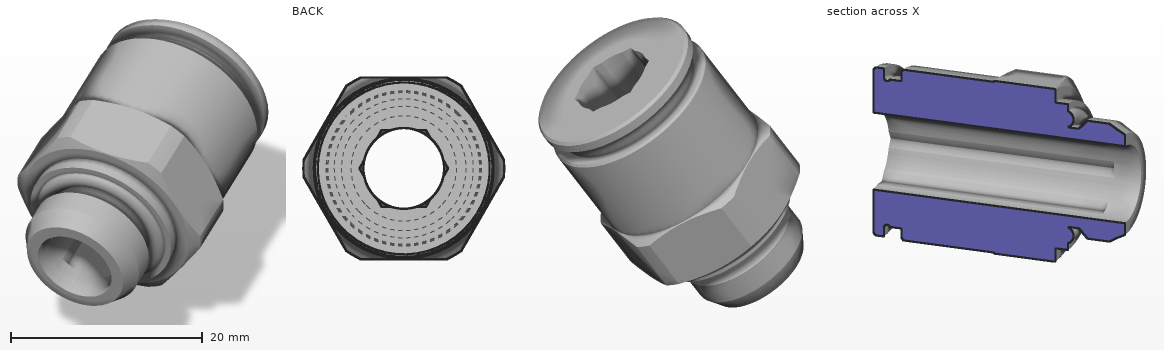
import cadquery as cq
import math

LENGTH = 28.7
TIP_END = 1.85
THREAD_END = 4.33
NECK_START = 5.3
COLLAR_START = 6.51
HEX_START = 7.95
HEX_END = 15.0
BODY_END = 25.49
SLEEVE_END = 26.8
FLANGE_START = 27.47

NECK_DIAMETER = 11.0
THREAD_DIAMETER = 13.0
COLLAR_DIAMETER = 16.07
BODY_DIAMETER = 18.8
SLEEVE_DIAMETER = 16.25
GROOVE_DIAMETER = 15.85
FLANGE_DIAMETER = 18.5

BODY_CHAMFER = 0.23
FLANGE_CHAMFER = 0.3
GROOVE_FLARE = 0.11

SEAL_DIAMETER = 14.52
SEAL_PROTRUSION = 0.63

HEX_ACROSS_FLATS = 19.0
HEX_CORNER_DIAMETER = 20.98
HEX_CHAMFER_ANGLE = 30.0

BORE_DIAMETER = 8.4
KEY_ACROSS_FLATS = 8.0
KEY_START = 3.1


def revolve_about_y(profile):
    return profile.close().revolve(360, (0, 0, 0), (0, 1, 0))


def hexagon(across_flats, start, end):
    """Hexagonal prism along +Y with corners on the X axis and flats facing +Z and -Z."""
    across_corners = across_flats / math.cos(math.radians(30))
    plane = cq.Workplane("XZ", origin=(0, start, 0))
    return plane.polygon(6, across_corners).extrude(start - end)


def turned_body():
    """Revolved outside shape, from the tip to the release ring flange."""
    neck = NECK_DIAMETER / 2
    thread = THREAD_DIAMETER / 2
    collar = COLLAR_DIAMETER / 2
    body = BODY_DIAMETER / 2
    sleeve = SLEEVE_DIAMETER / 2
    groove = GROOVE_DIAMETER / 2
    flange = FLANGE_DIAMETER / 2
    seal_outer = SEAL_DIAMETER / 2
    seal_middle = (neck + seal_outer) / 2
    groove_middle = (SLEEVE_END + FLANGE_START) / 2

    profile = (
        cq.Workplane("XY")
        .lineTo(neck, 0)
        .lineTo(thread, TIP_END)
        .lineTo(thread, THREAD_END)
        .lineTo(neck, NECK_START)
        .lineTo(neck, COLLAR_START)
        .threePointArc((seal_middle, COLLAR_START - SEAL_PROTRUSION), (seal_outer, COLLAR_START))
        .lineTo(collar, COLLAR_START)
        .lineTo(collar, HEX_START)
        .lineTo(body, HEX_START)
        .lineTo(body, BODY_END - BODY_CHAMFER)
        .lineTo(body - BODY_CHAMFER, BODY_END)
        .lineTo(sleeve, BODY_END)
        .lineTo(sleeve, SLEEVE_END)
        .threePointArc((groove, groove_middle), (sleeve + GROOVE_FLARE, FLANGE_START))
        .lineTo(flange, FLANGE_START)
        .lineTo(flange, LENGTH - FLANGE_CHAMFER)
        .lineTo(flange - FLANGE_CHAMFER, LENGTH)
        .lineTo(0, LENGTH)
    )
    return revolve_about_y(profile)


def wrench_hexagon():
    """Hexagon trimmed by a cylinder whose two ends are coned down to the body diameter."""
    corner = HEX_CORNER_DIAMETER / 2
    face = BODY_DIAMETER / 2
    chamfer_length = (corner - face) * math.tan(math.radians(HEX_CHAMFER_ANGLE))
    envelope = (
        cq.Workplane("XY")
        .moveTo(0, HEX_START)
        .lineTo(face, HEX_START)
        .lineTo(corner, HEX_START + chamfer_length)
        .lineTo(corner, HEX_END - chamfer_length)
        .lineTo(face, HEX_END)
        .lineTo(0, HEX_END)
    )
    return hexagon(HEX_ACROSS_FLATS, HEX_START, HEX_END).intersect(revolve_about_y(envelope))


def bore():
    return cq.Workplane("XZ").circle(BORE_DIAMETER / 2).extrude(-LENGTH)


def key_socket():
    """Its flats lie inside the bore, so only the six corners cut into the bore wall."""
    return hexagon(KEY_ACROSS_FLATS, KEY_START, LENGTH)


result = turned_body().union(wrench_hexagon()).cut(bore()).cut(key_socket())